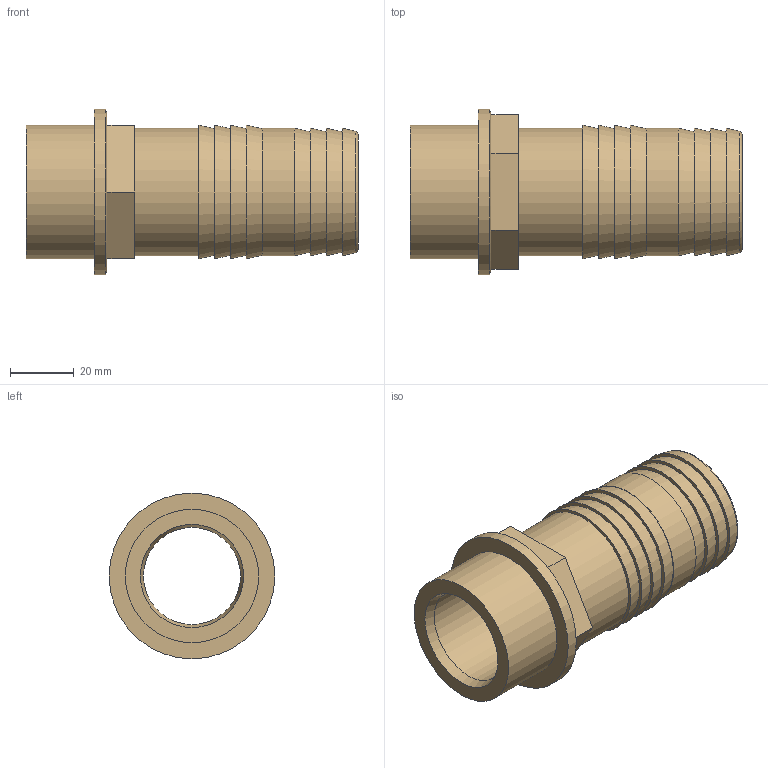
import cadquery as cq
import math

total_length = 104.2
hose_diameter = 40.0
spigot_diameter = 41.9

flange_diameter = 52.0
flange_start = 21.4
flange_end = 25.4
flange_chamfer_length = 0.4
flange_chamfer_depth = 1.5
hex_across_flats = spigot_diameter
hex_end = 34.0

barb_count = 4
barb_pitch = 5.0
barb_group_length = barb_count * barb_pitch
barb_drop = 1.1
tip_barbs_start = total_length - barb_group_length
barb_group_gap = 10.0
raised_barbs_end = tip_barbs_start - barb_group_gap
raised_barbs_start = raised_barbs_end - barb_group_length
raised_barb_radius = spigot_diameter / 2
tip_barb_radius = hose_diameter / 2
tip_fillet = 1.0

bore_diameter = 30.48
mouth_diameter = 32.4
mouth_depth = 3.2


def cylinder_along_x(start, end, diameter):
    """Solid cylinder on the X axis between two X positions."""
    return cq.Workplane("YZ", origin=(start, 0, 0)).circle(diameter / 2).extrude(end - start)


def make_flange():
    """Collar with a shallow conical bevel around its face toward the hexagon."""
    flange = cylinder_along_x(flange_start, flange_end, flange_diameter)
    return flange.faces(">X").chamfer(flange_chamfer_length, flange_chamfer_depth)


def make_hexagon():
    """Hexagon with two flats facing +Z and -Z and two corners on the Y axis."""
    across_corners = hex_across_flats / math.cos(math.pi / 6)
    profile = cq.Workplane("YZ", origin=(flange_end, 0, 0)).polygon(6, across_corners)
    return profile.extrude(hex_end - flange_end)


def make_barb_group(start, crest_radius):
    """Row of conical rings, each falling by the barb drop over one pitch."""
    profile = cq.Workplane("XY").moveTo(start, 0)
    for index in range(barb_count):
        barb_start = start + index * barb_pitch
        profile = profile.lineTo(barb_start, crest_radius)
        profile = profile.lineTo(barb_start + barb_pitch, crest_radius - barb_drop)
    profile = profile.lineTo(start + barb_group_length, 0).close()
    return profile.revolve(360, (0, 0, 0), (1, 0, 0))


def make_tip_barbs():
    """End group of barbs, with the outer edge of the tip rounded."""
    barbs = make_barb_group(tip_barbs_start, tip_barb_radius)
    return barbs.faces(">X").edges().fillet(tip_fillet)


def make_bore():
    """Through bore and its conical mouth, as one cutting body."""
    profile = (
        cq.Workplane("XY")
        .moveTo(0, 0)
        .lineTo(0, mouth_diameter / 2)
        .lineTo(mouth_depth, bore_diameter / 2)
        .lineTo(total_length, bore_diameter / 2)
        .lineTo(total_length, 0)
        .close()
    )
    return profile.revolve(360, (0, 0, 0), (1, 0, 0))


spigot = cylinder_along_x(0, flange_start, spigot_diameter)
tail_before_barbs = cylinder_along_x(flange_start, raised_barbs_start, hose_diameter)
raised_barbs = make_barb_group(raised_barbs_start, raised_barb_radius)
tail_between_barbs = cylinder_along_x(raised_barbs_end, tip_barbs_start, hose_diameter)

result = (
    spigot.union(make_flange())
    .union(make_hexagon())
    .union(tail_before_barbs)
    .union(raised_barbs)
    .union(tail_between_barbs)
    .union(make_tip_barbs())
    .cut(make_bore())
)